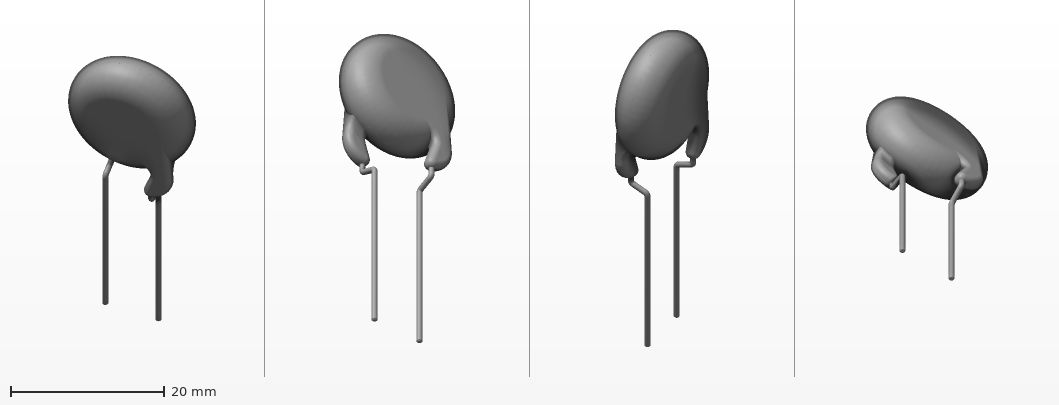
import cadquery as cq
import math

disc_radius = 8.75
rim_radius = 3.5
flat_radius = disc_radius - rim_radius

total_height = 47.0
lead_radius = 0.4
bend_radius = 0.55
lead_x = 3.75
upper_bend_z = -12.7
lower_bend_z = -13.65
lead_bottom_z = disc_radius - total_height
lead_end_chamfer = 0.2

leg_thickness = 1.97
leg_inner_y = leg_thickness - rim_radius
leg_edge_fillet = 0.85
root_fillet = 0.85
root_radius = 8.65

leg_side_top = (6.05, 1.2)
leg_side_bottom = (6.8, -8.05)
tip_center = (lead_x, -10.65)
tip_radius = 0.9
neck_center = (2.3, -7.47)
neck_radius = 1.5
neck_end_angle = 65
neck_run_in = 2.8

lead_y = leg_inner_y - leg_thickness / 2
lead_top_z = tip_center[1]


def polar(center, radius, angle):
    """Point at an angle (degrees) on a circle."""
    turn = math.radians(angle)
    return (center[0] + radius * math.cos(turn), center[1] + radius * math.sin(turn))


def revolve_about_disc_axis(outline):
    return outline.close().revolve(360, (0, 0, 0), (0, 1, 0))


def make_half_disc():
    """The half of the disc on the -Y side: a flat with a quarter-round rim."""
    rim_middle = polar((flat_radius, 0), rim_radius, -45)
    outline = (
        cq.Workplane("XY")
        .lineTo(disc_radius, 0)
        .threePointArc(rim_middle, (flat_radius, -rim_radius))
        .lineTo(0, -rim_radius)
    )
    return revolve_about_disc_axis(outline)


def make_leg_blank():
    """Curved leg outline, extruded from Y = 0 to the flat of the disc."""
    span_x = neck_center[0] - tip_center[0]
    span_z = neck_center[1] - tip_center[1]
    span_angle = math.degrees(math.atan2(span_z, span_x))
    tilt = math.degrees(math.acos((tip_radius + neck_radius) / math.hypot(span_x, span_z)))
    tip_end_angle = span_angle + tilt
    neck_start_angle = tip_end_angle - 180
    tip_end = polar(tip_center, tip_radius, tip_end_angle)
    neck_start = polar(neck_center, neck_radius, neck_start_angle)
    neck_middle = polar(neck_center, neck_radius, (neck_start_angle + neck_end_angle) / 2)
    neck_end = polar(neck_center, neck_radius, neck_end_angle)
    run_end = polar(neck_end, neck_run_in, neck_end_angle + 90)

    drop = leg_side_bottom[1] - tip_center[1]
    reach = leg_side_bottom[0] - tip_center[0]
    bow_radius = (reach**2 + drop**2 - tip_radius**2) / (2 * (reach - tip_radius))
    bow_center = (leg_side_bottom[0] - bow_radius, leg_side_bottom[1])
    bow_end_angle = math.degrees(math.atan2(-drop, tip_center[0] - bow_center[0]))
    bow_middle = polar(bow_center, bow_radius, bow_end_angle / 2)
    bow_end = polar(bow_center, bow_radius, bow_end_angle)
    tip_middle = polar(tip_center, tip_radius, (bow_end_angle + tip_end_angle - 360) / 2)

    return (
        cq.Workplane("XZ")
        .moveTo(*leg_side_top)
        .lineTo(*leg_side_bottom)
        .threePointArc(bow_middle, bow_end)
        .threePointArc(tip_middle, tip_end)
        .lineTo(*neck_start)
        .threePointArc(neck_middle, neck_end)
        .lineTo(*run_end)
        .lineTo(run_end[0], leg_side_top[1])
        .close()
        .extrude(rim_radius)
    )


def make_leg_clearance():
    """Ring that thins the leg outside the disc and leaves the hollow round at its root."""
    round_center = (root_radius + root_fillet, leg_inner_y + root_fillet)
    round_middle = polar(round_center, root_fillet, -135)
    ring_radius = 2 * disc_radius
    outline = (
        cq.Workplane("XY")
        .moveTo(root_radius, 0)
        .lineTo(root_radius, round_center[1])
        .threePointArc(round_middle, (round_center[0], leg_inner_y))
        .lineTo(ring_radius, leg_inner_y)
        .lineTo(ring_radius, 0)
    )
    return revolve_about_disc_axis(outline)


def make_leg():
    """Leg with rounded edges, its outer face flush with the flat of the disc."""
    leg = make_leg_blank().cut(make_leg_clearance())
    outer_edges = leg.faces("<Y").edges().vals()
    inner_face_edges = leg.faces("|Y").faces(">Y[-2]").edges().vals()
    inner_edges = [
        edge for edge in inner_face_edges if edge.geomType() == "LINE" or edge.radius() < root_radius
    ]
    return leg.newObject(outer_edges + inner_edges).fillet(leg_edge_fillet)


def make_lead():
    """Round wire from inside the leg, bent over to Y = 0 and then straight down."""
    slope = math.atan2(upper_bend_z - lower_bend_z, -lead_y)
    setback = bend_radius * math.tan((math.pi / 2 - slope) / 2)
    setback_y = setback * math.cos(slope)
    setback_z = setback * math.sin(slope)
    path = (
        cq.Workplane("YZ", origin=(lead_x, 0, 0))
        .moveTo(lead_y, lead_top_z)
        .lineTo(lead_y, upper_bend_z + setback)
        .tangentArcPoint((lead_y + setback_y, upper_bend_z - setback_z), relative=False)
        .lineTo(-setback_y, lower_bend_z + setback_z)
        .tangentArcPoint((0, lower_bend_z - setback), relative=False)
        .lineTo(0, lead_bottom_z)
    )
    return (
        cq.Workplane("XY", origin=(lead_x, lead_y, lead_top_z))
        .circle(lead_radius)
        .sweep(path)
        .faces("<Z")
        .chamfer(lead_end_chamfer)
    )


def make_coating_half():
    """Half disc with its leg, bored for the lead."""
    return make_half_disc().union(make_leg()).cut(make_lead())


def make_opposed_pair(body):
    """The body and a copy turned half way round the Z axis."""
    turned = [body.rotate((0, 0, 0), (0, 0, 1), angle) for angle in (0, 180)]
    return [copy.solids().val() for copy in turned]


coating_halves = make_opposed_pair(make_coating_half())
leads = make_opposed_pair(make_lead())

result = cq.Compound.makeCompound([*coating_halves, *leads])